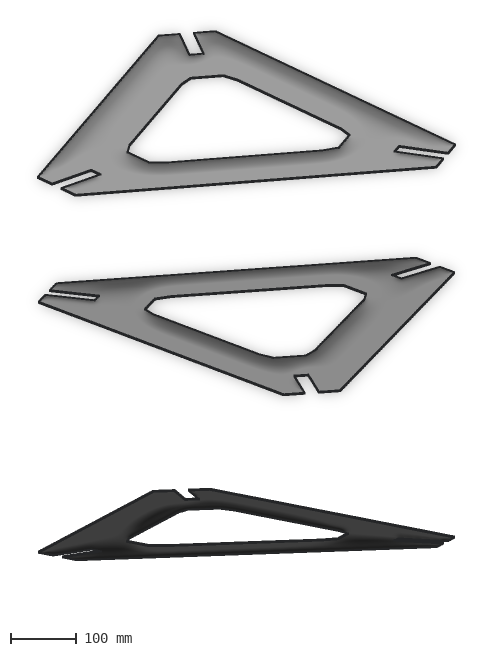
import cadquery as cq
import math

length_y = 648.0
thickness = 2.0
arm_count = 3
arm_step = 360 / arm_count

tip_half_width = 44.0
tip_radius = (length_y / 2 - tip_half_width * math.sin(math.radians(30))) / math.cos(math.radians(30))

slot_length = 79.0
slot_width = 22.0

window_side_distance = 120.0
window_tip_radius = 184.5
window_tip_half_width = 25.0
window_shoulder_half_width = 43.5
window_shoulder_radius = (
    window_side_distance - window_shoulder_half_width * math.sin(math.radians(60))
) / math.cos(math.radians(60))


def rotated(point, degrees):
    """Turn a point about the plate centre."""
    angle = math.radians(degrees)
    x, y = point
    return (
        x * math.cos(angle) - y * math.sin(angle),
        x * math.sin(angle) + y * math.cos(angle),
    )


def three_fold_plate(corner_points):
    """Extrude the outline made by repeating one arm's corner points around the centre."""
    outline = [
        rotated(point, arm * arm_step)
        for arm in range(arm_count)
        for point in corner_points
    ]
    return cq.Workplane("XY").polyline(outline).close().extrude(thickness)


def arm_slot(arm):
    """Rectangular cutter reaching inward from the end of one arm."""
    return (
        cq.Workplane("XY")
        .center(tip_radius - slot_length / 2, 0)
        .rect(slot_length, slot_width)
        .extrude(thickness)
        .rotate((0, 0, 0), (0, 0, 1), arm * arm_step)
    )


plate = three_fold_plate([
    (tip_radius, -tip_half_width),
    (tip_radius, tip_half_width),
])

window = three_fold_plate([
    (window_shoulder_radius, -window_shoulder_half_width),
    (window_tip_radius, -window_tip_half_width),
    (window_tip_radius, window_tip_half_width),
    (window_shoulder_radius, window_shoulder_half_width),
])

result = plate.cut(window)
for arm in range(arm_count):
    result = result.cut(arm_slot(arm))